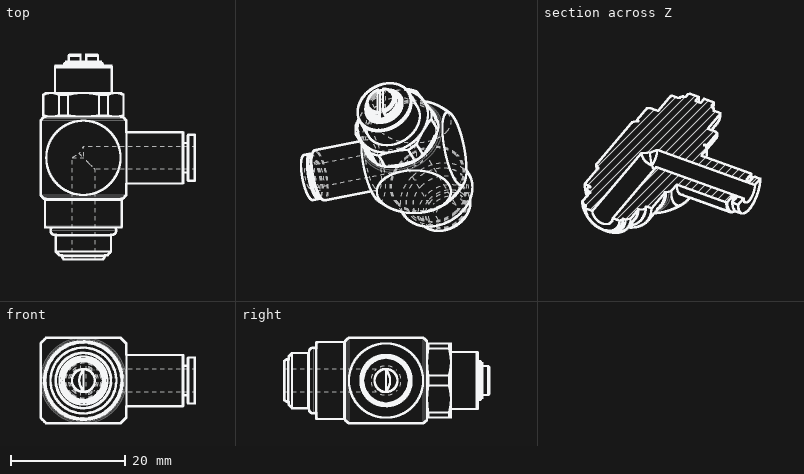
import cadquery as cq
import math


body_size = 15.0
body_half = body_size / 2
face_circle_radius = 6.5
sphere_radius = math.hypot(body_half, face_circle_radius)

collar_start_radius = body_half
collar_start = face_circle_radius
collar_middle_radius = 7.22
collar_middle = 6.85
collar_end_radius = 6.88
collar_end = 7.2

nut_sides = 6
nut_across_flats = 13.0
nut_corner_radius = 7.05
nut_end = 11.35
nut_outer_chamfer = 0.33
nut_inner_chamfer = 0.2

cap_radius = 5.0
cap_end = 16.1
cap_edge = 0.3
cap_edge_inset = 0.1
shoulder_base_radius = 3.45
shoulder_break_radius = 3.38
shoulder_step_radius = 3.25
shoulder_top_radius = 3.05
shoulder_break = 16.4
shoulder_step = 16.6
shoulder_end = 16.85
screw_radius = 2.6
screw_end = 18.08
screw_chamfer = 0.25
slot_width = 1.0

sleeve_radius = 6.75
sleeve_end = 12.2
sleeve_start_chamfer = 0.15
sleeve_edge = 0.25
sleeve_edge_inset = 0.08
seal_ring_radius = 4.97
seal_section_radius = 0.8
seal_centre = 12.7
thread_radius = 4.85
thread_start = seal_centre + seal_section_radius
thread_start_chamfer = 0.1
thread_end = 17.05
thread_end_chamfer = 0.65
tip_radius = 3.8
tip_end = 17.82
tip_entry_chamfer = 0.13
tip_taper_radius = 3.62
tip_taper_end = 17.55
tip_end_radius = 3.4

port_radius = 4.5
port_end = 17.52
port_chamfer = 0.15
neck_radius = 2.6
release_ring_radius = 4.05
release_ring_start = 18.2
release_ring_end = 19.52
release_ring_chamfer = 0.2
release_ring_end_chamfer = 0.05

bore_radius = 2.0
drill_point_angle = 120.0
drill_point_length = bore_radius / math.tan(math.radians(drill_point_angle / 2))


def revolve_outline(outline):
    """Solid of revolution about Y from a closed outline of (radius, y) points."""
    return cq.Workplane("XY").polyline(outline).close().revolve(360, (0, 0, 0), (0, 1, 0))


def turned(points):
    """Solid turned about Y from (radius, y) outline points; the axis closes the outline."""
    first_y = points[0][1]
    last_y = points[-1][1]
    return revolve_outline([(0, first_y)] + points + [(0, last_y)])


def point_along_x(solid):
    """Turn a part built along +Y so that it runs along +X."""
    return solid.rotate((0, 0, 0), (0, 0, 1), -90)


def point_along_minus_y(solid):
    """Turn a part built along +Y so that it runs along -Y."""
    return solid.rotate((0, 0, 0), (0, 0, 1), 180)


def make_body():
    block = cq.Workplane("XY").box(body_size, 2 * collar_start, body_size)
    return block.intersect(cq.Workplane("XY").sphere(sphere_radius))


def make_collar():
    return turned([
        (collar_start_radius, collar_start),
        (collar_middle_radius, collar_middle),
        (collar_end_radius, collar_end),
    ])


def make_nut():
    """Hexagon with flats facing +Z and -Z and its corners turned down to a round blank."""
    across_corners = nut_across_flats / math.cos(math.pi / nut_sides)
    hexagon = (
        cq.Workplane("XZ", origin=(0, nut_end, 0))
        .polygon(nut_sides, across_corners)
        .extrude(nut_end - collar_end)
    )
    end_radius = nut_across_flats / 2
    blank = turned([
        (end_radius, collar_end),
        (nut_corner_radius, collar_end + nut_inner_chamfer),
        (nut_corner_radius, nut_end - nut_outer_chamfer),
        (end_radius, nut_end),
    ])
    return hexagon.intersect(blank)


def make_cap():
    return turned([
        (cap_radius, nut_end),
        (cap_radius, cap_end - cap_edge),
        (cap_radius - cap_edge_inset, cap_end),
        (shoulder_base_radius, cap_end),
        (shoulder_break_radius, shoulder_break),
        (shoulder_step_radius, shoulder_step),
        (shoulder_top_radius, shoulder_step),
        (shoulder_top_radius, shoulder_end),
    ])


def make_screw():
    shank = turned([
        (screw_radius, shoulder_end),
        (screw_radius, screw_end - screw_chamfer),
        (screw_radius - screw_chamfer, screw_end),
    ])
    slot_depth = screw_end - shoulder_end
    slot = cq.Workplane("XY").box(slot_width, slot_depth, 2 * screw_radius)
    return shank.cut(slot.translate((0, shoulder_end + slot_depth / 2, 0)))


def make_threaded_end():
    """Sleeve, seal land, thread and tip, with the seal ring in place."""
    stem = turned([
        (sleeve_radius - sleeve_start_chamfer, collar_end),
        (sleeve_radius, collar_end + sleeve_start_chamfer),
        (sleeve_radius, sleeve_end - sleeve_edge),
        (sleeve_radius - sleeve_edge_inset, sleeve_end),
        (seal_ring_radius, sleeve_end),
        (seal_ring_radius, thread_start),
        (thread_radius - thread_start_chamfer, thread_start),
        (thread_radius, thread_start + thread_start_chamfer),
        (thread_radius, thread_end - thread_end_chamfer),
        (thread_radius - thread_end_chamfer, thread_end),
        (tip_radius - tip_entry_chamfer, thread_end),
        (tip_radius, thread_end + tip_entry_chamfer),
        (tip_taper_radius, tip_taper_end),
        (tip_end_radius, tip_end),
    ])
    seal = (
        cq.Workplane("XY")
        .center(seal_ring_radius, seal_centre)
        .circle(seal_section_radius)
        .revolve(360, (-seal_ring_radius, 0, 0), (-seal_ring_radius, 1, 0))
    )
    return point_along_minus_y(stem.union(seal))


def make_tube_port():
    return point_along_x(turned([
        (port_radius, 0),
        (port_radius, port_end - port_chamfer),
        (port_radius - port_chamfer, port_end),
        (neck_radius, port_end),
        (neck_radius, release_ring_start),
        (release_ring_radius - release_ring_chamfer, release_ring_start),
        (release_ring_radius, release_ring_start + release_ring_chamfer),
        (release_ring_radius, release_ring_end - release_ring_end_chamfer),
        (release_ring_radius - release_ring_end_chamfer, release_ring_end),
    ]))


def make_drilled_hole(length):
    """Hole running along +Y from the body centre, its drill point just behind the centre."""
    outline = [(0, -drill_point_length), (bore_radius, 0), (bore_radius, length), (0, length)]
    return revolve_outline(outline)


collar = make_collar()

result = (
    make_body()
    .union(collar)
    .union(point_along_minus_y(collar))
    .union(make_nut())
    .union(make_cap())
    .union(make_screw())
    .union(make_threaded_end())
    .union(make_tube_port())
    .cut(point_along_minus_y(make_drilled_hole(tip_end)))
    .cut(point_along_x(make_drilled_hole(release_ring_end)))
)